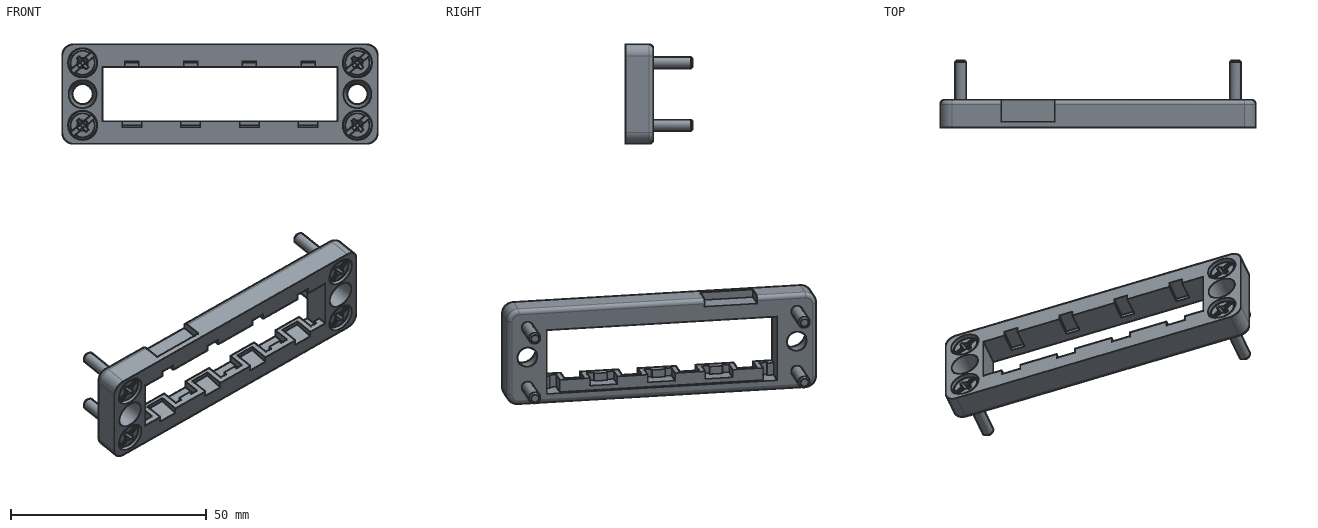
import cadquery as cq
frame_length = 80.6
frame_height = 25.5
frame_depth = 7.2
corner_radius = 3.0
back_edge_fillet = 1.2

window_length = 60.0
window_height = 13.8
window_top = window_height / 2
window_bottom = -window_height / 2
window_end = window_length / 2

module_count = 4
module_pitch = 15.0
module_centres = [(i - (module_count - 1) / 2) * module_pitch for i in range(module_count)]

pocket_front_depth = 1.5
pocket_back_depth = 1.05
pocket_reach = 5.15
upper_pocket_width = 3.55
lower_pocket_width = 5.0

block_width = 7.9
block_back = 6.2
gap_depth = 2.0
ledge_reach = 1.6
hump_reach = 2.4
hump_width = 3.4
hump_centres = [(i - module_count / 2) * module_pitch for i in range(module_count + 1)]
rear_step_depth = 3.2

side_recess_length = 13.7
side_recess_reach = 5.65
side_recess_depth = 2.0
side_recess_centre_from_end = 22.4
side_recess_centre = -frame_length / 2 + side_recess_centre_from_end

fastener_x = 35.1
screw_z = 8.0
taper_front_diameter = 7.2
taper_back_diameter = 5.1

counterbore_diameter = 7.5
counterbore_radius = counterbore_diameter / 2
counterbore_depth = 2.5
head_diameter = 7.25
head_face_depth = 0.6
head_chamfer = 0.6
shank_diameter = 3.0
shank_tip = 17.2
tip_chamfer = 0.5

drive_angle = 40.0
slot_width = 1.3
slot_depth = 0.5
cross_length = 3.7
cross_width = 0.9
cross_depth = 1.6
cross_tip_diameter = 1.0
core_diameter = 2.7


def box(x_min, x_max, y_min, y_max, z_min, z_max):
    """Box given by its limits along each axis."""
    size = (x_max - x_min, y_max - y_min, z_max - z_min)
    return cq.Workplane("XY").box(*size, centered=False).translate((x_min, y_min, z_min))


def turned(x, z, profile):
    """Solid of revolution about the Y line at (x, z); the profile lists (radius, y) points."""
    outline = cq.Workplane("XY").polyline(profile).close()
    return outline.revolve(360, (0, 0, 0), (0, 1, 0)).translate((x, 0, z))


def make_frame():
    """Rounded plate with its back outer edge filleted and the window cut through."""
    plate = box(-frame_length / 2, frame_length / 2, 0, frame_depth, -frame_height / 2, frame_height / 2)
    plate = plate.edges("|Y").fillet(corner_radius)
    plate = plate.faces(">Y").edges().fillet(back_edge_fillet)
    return plate.cut(box(-window_end, window_end, 0, frame_depth, window_bottom, window_top))


def latch_pocket(x, edge_z, outward, width):
    """Pocket cut into a window edge; outward is +1 for the upper bar and -1 for the lower."""
    profile = [
        (0, edge_z),
        (0, edge_z + outward * pocket_front_depth),
        (pocket_reach, edge_z + outward * pocket_back_depth),
        (pocket_reach, edge_z),
    ]
    return cq.Workplane("YZ").polyline(profile).close().extrude(width).translate((x - width / 2, 0, 0))


def make_block_gaps():
    """Cut along the window bottom that leaves a block at each module and a ledge with humps in front."""
    floor = window_bottom - gap_depth
    end_gap_floor = window_bottom - rear_step_depth
    outer_block_side = module_centres[-1] + block_width / 2
    gaps = box(-window_end, window_end, ledge_reach, block_back, floor, window_bottom)
    for centre in module_centres:
        left = centre - block_width / 2
        gaps = gaps.cut(box(left, left + block_width, ledge_reach, block_back, floor, window_bottom))
    for centre in hump_centres:
        left = centre - hump_width / 2
        gaps = gaps.cut(box(left, left + hump_width, ledge_reach, hump_reach, floor, window_bottom))
    for direction in (-1, 1):
        left, right = sorted((direction * outer_block_side, direction * (window_end - hump_width / 2)))
        gaps = gaps.union(box(left, right, ledge_reach, block_back, end_gap_floor, window_bottom))
        left, right = sorted((direction * outer_block_side, direction * window_end))
        gaps = gaps.union(box(left, right, hump_reach, block_back, end_gap_floor, window_bottom))
    return gaps


def make_screw(x, z):
    """Screw with a chamfered head, a slotted cross drive and a chamfered tip."""
    head_radius = head_diameter / 2
    shank_radius = shank_diameter / 2
    screw = turned(x, z, [
        (0, head_face_depth),
        (head_radius - head_chamfer, head_face_depth),
        (head_radius, head_face_depth + head_chamfer),
        (head_radius, counterbore_depth),
        (shank_radius, counterbore_depth),
        (shank_radius, shank_tip - tip_chamfer),
        (shank_radius - tip_chamfer, shank_tip),
        (0, shank_tip),
    ])
    return screw.cut(make_drive(x, z))


def make_drive(x, z):
    """Drive recess: full-width slot, two crossing tapered blades and a central frustum."""
    half_slot = head_diameter / 2
    slot_floor = head_face_depth + slot_depth
    slot = box(-half_slot, half_slot, head_face_depth, slot_floor, -slot_width / 2, slot_width / 2)
    cross_floor = head_face_depth + cross_depth
    blade_profile = [
        (-cross_length / 2, head_face_depth),
        (cross_length / 2, head_face_depth),
        (cross_tip_diameter / 2, cross_floor),
        (-cross_tip_diameter / 2, cross_floor),
    ]
    blade = cq.Workplane("XY").polyline(blade_profile).close().extrude(cross_width / 2, both=True)
    crossing_blade = blade.rotate((0, 0, 0), (0, 1, 0), 90)
    drive = slot.union(blade).union(crossing_blade).rotate((0, 0, 0), (0, 1, 0), -drive_angle)
    core = turned(x, z, [
        (0, head_face_depth),
        (core_diameter / 2, head_face_depth),
        (cross_tip_diameter / 2, cross_floor),
        (0, cross_floor),
    ])
    return drive.translate((x, 0, z)).union(core)


frame = make_frame()

for centre in module_centres:
    frame = frame.cut(latch_pocket(centre, window_top, 1, upper_pocket_width))
    frame = frame.cut(latch_pocket(centre, window_bottom, -1, lower_pocket_width))

frame = frame.cut(make_block_gaps())
rear_step_bottom = window_bottom - rear_step_depth
frame = frame.cut(box(-window_end, window_end, block_back, frame_depth, rear_step_bottom, window_bottom))

frame = frame.cut(box(
    side_recess_centre - side_recess_length / 2,
    side_recess_centre + side_recess_length / 2,
    frame_depth - side_recess_reach,
    frame_depth,
    frame_height / 2 - side_recess_depth,
    frame_height / 2,
))

for x in (-fastener_x, fastener_x):
    frame = frame.cut(turned(x, 0, [
        (0, 0),
        (taper_front_diameter / 2, 0),
        (taper_back_diameter / 2, frame_depth),
        (0, frame_depth),
    ]))
    for z in (-screw_z, screw_z):
        frame = frame.cut(turned(x, z, [
            (0, 0),
            (counterbore_radius, 0),
            (counterbore_radius, counterbore_depth),
            (0, counterbore_depth),
        ]))
        frame = frame.union(make_screw(x, z))

result = frame